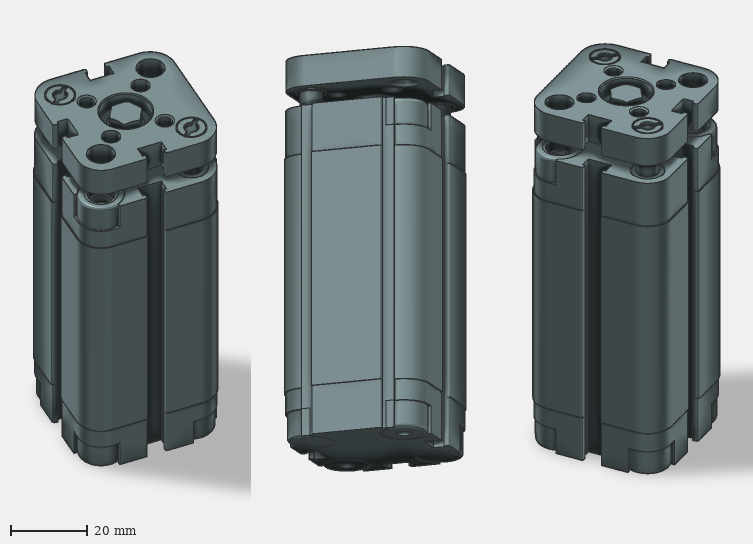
import cadquery as cq
TOTAL_HEIGHT = 103.0
PLATE_THICKNESS = 8.2
STROKE_GAP = 5.4
END_CAP_HEIGHT = 13.1
PLATE_Z = TOTAL_HEIGHT - PLATE_THICKNESS
HOUSING_HEIGHT = PLATE_Z - STROKE_GAP
TUBE_TOP_Z = HOUSING_HEIGHT - END_CAP_HEIGHT

TUBE_HALF = 20.0
END_HALF = 19.7
CORNER_PITCH = 13.0
TUBE_CORNER_RADIUS = TUBE_HALF - CORNER_PITCH
CAP_CORNER_RADIUS = END_HALF - CORNER_PITCH
PLATE_CORNER_RADIUS = 7.0

FRONT_SLOT = (2.6, 3.5, 0.5, 0.7)
SIDE_SLOT = (2.7, 3.4, 0, 0.4)
SLOT_FLOOR = 15.0
LIP_INSIDE = 18.2

RIB_HALF_WIDTH = 9.7
RIB_HEIGHT = 1.5
RIB_ROUND = 0.3
PAD_FACE = 20.2

BOSS_DIAMETER = 12.5
BOSS_ROUND = 1.0
RELIEF_HEIGHT = 7.4
RELIEF_EDGE = 10.6
THROUGH_HOLE_DIAMETER = 4.0
COUNTERSINK_DIAMETER = 5.4
BOLT_RECESS_DIAMETER = 7.2
DISH_DEPTH = 0.3
BOLT_RECESS_DEPTH = 3.1
CORNER_RECESS_DIAMETER = 9.0
BEARING_RECESS_DEPTH = 0.3

ROD_DIAMETER = 10.0
FLATS_WIDTH = 9.0
FLATS_BOTTOM_Z = PLATE_Z - 4.1
HEX_WIDTH = 8.0
HEX_TOP_GAP = 0.5
HEX_CHAMFER_HEIGHT = 0.3
SHOULDER_HEIGHT = 0.2
GUIDE_DIAMETER = 6.0
ROD_END_Z = HOUSING_HEIGHT - END_CAP_HEIGHT

BORE_DIAMETER = 14.0
BORE_DEPTH = 4.4
BORE_CHAMFER = 0.3
SMALL_HOLE_PITCH = 7.7
CLEARANCE_HOLE_DIAMETER = 7.5
PLAIN_HOLE_DIAMETER = 5.0
THREAD_HOLE_DIAMETER = 4.1
SCREW_DIAMETER = 8.1
SCREW_BEVEL = 0.36
SCREW_PROTRUSION = 0.3
SCREW_SOCKET_DIAMETER = 3.5
SCREW_SOCKET_MOUTH = 4.0
SCREW_SLOT_WIDTH = 1.2
SCREW_SLOT_DEPTH = 1.0

GUIDE_CORNERS = [(1, 1), (-1, -1)]
OPEN_CORNERS = [(-1, 1), (1, -1)]
ALL_CORNERS = GUIDE_CORNERS + OPEN_CORNERS


def scaled(corners, pitch):
    return [(sx * pitch, sy * pitch) for sx, sy in corners]


def cylinder(points, diameter, z, height):
    """Upright cylinders standing at z on the given points."""
    return cq.Workplane(origin=(0, 0, z)).pushPoints(points).circle(diameter / 2).extrude(height)


def countersink(x, y, small_diameter, large_diameter, top_z):
    """45-degree cone that widens upward to the large diameter at top_z."""
    depth = (large_diameter - small_diameter) / 2
    tip = cq.Vector(x, y, top_z - depth)
    return cq.Workplane(cq.Solid.makeCone(small_diameter / 2, large_diameter / 2, depth, pnt=tip))


def bolt_hole(x, y):
    """Through hole with a round recess in the top, dished at its mouth."""
    recess_z = HOUSING_HEIGHT - BOLT_RECESS_DEPTH
    hole = cylinder([(x, y)], THROUGH_HOLE_DIAMETER, 0, HOUSING_HEIGHT)
    hole = hole.union(countersink(x, y, THROUGH_HOLE_DIAMETER, COUNTERSINK_DIAMETER, recess_z))
    hole = hole.union(cylinder([(x, y)], BOLT_RECESS_DIAMETER, recess_z, BOLT_RECESS_DEPTH))
    dish = cq.Solid.makeCone(
        BOLT_RECESS_DIAMETER / 2,
        CORNER_RECESS_DIAMETER / 2,
        DISH_DEPTH,
        pnt=cq.Vector(x, y, HOUSING_HEIGHT - DISH_DEPTH),
    )
    return hole.union(cq.Workplane(dish))


def cut_front_slot(block, half, z, height, slot):
    """Cut a T-slot with a rounded mouth into the -Y face of a block."""
    mouth_half, chamber_half, chamber_round, mouth_round = slot
    chamber = (
        cq.Workplane(origin=(0, -(SLOT_FLOOR + LIP_INSIDE) / 2, z))
        .rect(2 * chamber_half, LIP_INSIDE - SLOT_FLOOR)
        .extrude(height)
    )
    if chamber_round:
        chamber = chamber.edges("|Z").fillet(chamber_round)
    mouth = (
        cq.Workplane(origin=(0, -(SLOT_FLOOR + half) / 2, z))
        .rect(2 * mouth_half, half - SLOT_FLOOR)
        .extrude(height)
    )
    block = block.cut(chamber.union(mouth))
    lip_middle = (half + LIP_INSIDE) / 2
    mouth_region = cq.selectors.BoxSelector(
        (-chamber_half, -2 * half, z), (chamber_half, -lip_middle, z + height)
    )
    return block.edges("|Z").edges(mouth_region).fillet(mouth_round)


def turned(block, angle):
    return block.rotate((0, 0, 0), (0, 0, 1), angle)


def slotted_block(half, corner_radius, z, height):
    """Rounded square block with a T-slot in the front and in both sides."""
    block = cq.Workplane(origin=(0, 0, z)).rect(2 * half, 2 * half).extrude(height)
    block = block.edges("|Z").fillet(corner_radius)
    block = cut_front_slot(block, half, z, height, FRONT_SLOT)
    for angle in (90, -90):
        block = cut_front_slot(turned(block, angle), half, z, height, SIDE_SLOT)
        block = turned(block, -angle)
    return block


def ribbed_block(half, corner_radius, z, height):
    """Slotted block with the rib and its pad on the back."""
    block = slotted_block(half, corner_radius, z, height)
    rib = (
        cq.Workplane(origin=(0, 0, z))
        .center(0, half)
        .rect(2 * RIB_HALF_WIDTH, 2 * RIB_HEIGHT)
        .extrude(height)
        .edges("|Z and >Y")
        .fillet(RIB_ROUND)
    )
    pad = (
        cq.Workplane(origin=(0, 0, z))
        .center(0, (PAD_FACE + SLOT_FLOOR) / 2)
        .rect(2 * CORNER_PITCH, PAD_FACE - SLOT_FLOOR)
        .extrude(height)
    )
    return block.union(pad).union(rib)


def corner_relief(sx, sy, top):
    """Material removed around a corner boss, with its outer end rounded."""
    z = HOUSING_HEIGHT - RELIEF_HEIGHT if top else 0
    size = TUBE_HALF - RELIEF_EDGE
    middle = RELIEF_EDGE + size / 2
    centre = (sx * CORNER_PITCH, sy * CORNER_PITCH)
    boss = cylinder([centre], BOSS_DIAMETER, z, RELIEF_HEIGHT)
    rounded_boss = boss.faces(">Z" if top else "<Z").edges().fillet(BOSS_ROUND)
    corner = cq.Workplane(origin=(sx * middle, sy * middle, z)).rect(size, size).extrude(RELIEF_HEIGHT)
    return corner.union(boss).cut(rounded_boss)


def build_housing():
    """Tube between two end caps, bored for the bolts, the guide rods and the piston rod."""
    body = ribbed_block(END_HALF, CAP_CORNER_RADIUS, 0, END_CAP_HEIGHT)
    tube_height = TUBE_TOP_Z - END_CAP_HEIGHT
    body = body.union(ribbed_block(TUBE_HALF, TUBE_CORNER_RADIUS, END_CAP_HEIGHT, tube_height))
    body = body.union(ribbed_block(END_HALF, CAP_CORNER_RADIUS, TUBE_TOP_Z, END_CAP_HEIGHT))
    for sx, sy in ALL_CORNERS:
        body = body.cut(corner_relief(sx, sy, top=False))
    for sx, sy in OPEN_CORNERS:
        body = body.cut(corner_relief(sx, sy, top=True))
    for x, y in scaled(OPEN_CORNERS, CORNER_PITCH):
        body = body.cut(bolt_hole(x, y))
    guides = scaled(GUIDE_CORNERS, CORNER_PITCH)
    recess_z = HOUSING_HEIGHT - BEARING_RECESS_DEPTH
    body = body.cut(cylinder(guides, CORNER_RECESS_DIAMETER, recess_z, BEARING_RECESS_DEPTH))
    body = body.cut(cylinder(guides, GUIDE_DIAMETER, ROD_END_Z, END_CAP_HEIGHT))
    return body.cut(cylinder([(0, 0)], ROD_DIAMETER, ROD_END_Z, END_CAP_HEIGHT))


def build_piston_rod():
    """Rod with two wrench flats and a chamfered hexagonal end."""
    shoulder_z = TOTAL_HEIGHT - BORE_DEPTH + SHOULDER_HEIGHT
    rod = cylinder([(0, 0)], ROD_DIAMETER, ROD_END_Z, shoulder_z - ROD_END_Z)
    flats_height = PLATE_Z - FLATS_BOTTOM_Z
    flats = (
        cq.Workplane(origin=(0, 0, FLATS_BOTTOM_Z))
        .rect(2 * ROD_DIAMETER, 2 * ROD_DIAMETER)
        .rect(2 * ROD_DIAMETER, FLATS_WIDTH)
        .extrude(flats_height)
    )
    rod = rod.cut(flats)
    hex_height = TOTAL_HEIGHT - HEX_TOP_GAP - shoulder_z
    end = (
        cq.Workplane(origin=(0, 0, shoulder_z))
        .polygon(6, HEX_WIDTH, circumscribed=True)
        .extrude(hex_height)
    )
    crown = cylinder([(0, 0)], ROD_DIAMETER, shoulder_z, hex_height)
    crown = crown.faces(">Z").chamfer(HEX_CHAMFER_HEIGHT, (ROD_DIAMETER - HEX_WIDTH) / 2)
    return rod.union(end.intersect(crown))


def screw_head_cut(x, y):
    """Groove, slot and socket of a slotted screw let flush into the plate."""
    z = TOTAL_HEIGHT - SCREW_SLOT_DEPTH
    disc = cylinder([(x, y)], SCREW_DIAMETER, z, SCREW_SLOT_DEPTH)
    groove = disc.cut(disc.faces(">Z").chamfer(SCREW_BEVEL))
    slot = (
        cq.Workplane(origin=(x, y, z))
        .transformed(rotate=(0, 0, -45))
        .rect(SCREW_DIAMETER, SCREW_SLOT_WIDTH)
        .extrude(SCREW_SLOT_DEPTH)
    )
    socket = cylinder([(x, y)], SCREW_SOCKET_DIAMETER, z, SCREW_SLOT_DEPTH)
    socket_mouth = countersink(x, y, SCREW_SOCKET_DIAMETER, SCREW_SOCKET_MOUTH, TOTAL_HEIGHT)
    return groove.union(slot.intersect(disc)).union(socket).union(socket_mouth)


def build_plate():
    """Slotted front plate with its central bore and the holes around it."""
    plate = slotted_block(END_HALF, PLATE_CORNER_RADIUS, PLATE_Z, PLATE_THICKNESS)
    bore = cylinder([(0, 0)], BORE_DIAMETER, TOTAL_HEIGHT - BORE_DEPTH, BORE_DEPTH)
    bore_mouth = countersink(0, 0, BORE_DIAMETER, BORE_DIAMETER + 2 * BORE_CHAMFER, TOTAL_HEIGHT)
    plate = plate.cut(bore.union(bore_mouth))
    clearance = scaled(OPEN_CORNERS, CORNER_PITCH)
    plate = plate.cut(cylinder(clearance, CLEARANCE_HOLE_DIAMETER, PLATE_Z, PLATE_THICKNESS))
    plain = scaled(OPEN_CORNERS, SMALL_HOLE_PITCH)
    plate = plate.cut(cylinder(plain, PLAIN_HOLE_DIAMETER, PLATE_Z, PLATE_THICKNESS))
    thread_points = scaled(GUIDE_CORNERS, SMALL_HOLE_PITCH)
    plate = plate.cut(cylinder(thread_points, THREAD_HOLE_DIAMETER, PLATE_Z, PLATE_THICKNESS))
    for x, y in thread_points:
        plate = plate.cut(countersink(x, y, THREAD_HOLE_DIAMETER, PLAIN_HOLE_DIAMETER, TOTAL_HEIGHT))
    return plate


def build_carriage():
    """Front plate together with its guide rods, their screws and the piston rod."""
    plate = build_plate()
    guides = scaled(GUIDE_CORNERS, CORNER_PITCH)
    plate = plate.union(cylinder(guides, SCREW_DIAMETER, PLATE_Z - SCREW_PROTRUSION, SCREW_PROTRUSION))
    for x, y in guides:
        plate = plate.cut(screw_head_cut(x, y))
    plate = plate.union(cylinder(guides, GUIDE_DIAMETER, ROD_END_Z, PLATE_Z - ROD_END_Z))
    return plate.union(build_piston_rod())


housing = build_housing()
carriage = build_carriage()

result = cq.Compound.makeCompound([housing.val(), carriage.val()])